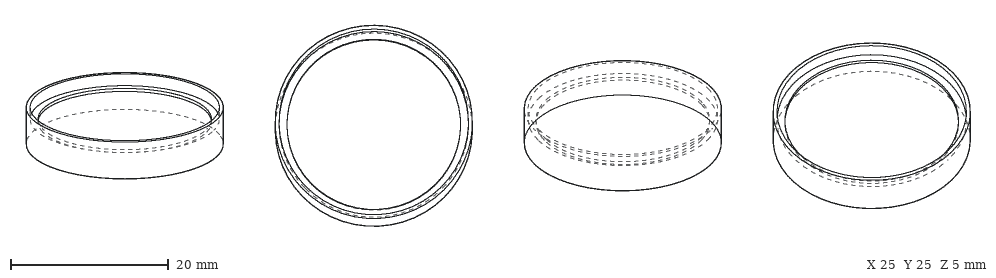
import cadquery as cq

outer_diameter = 25.0
height = 5.0

wall_thickness = 0.5
ledge_width = 1.0
ledge_depth = 1.6
floor_step = 0.4

recess_diameter = outer_diameter - 2 * wall_thickness
floor_diameter = recess_diameter - 2 * ledge_width
floor_depth = ledge_depth + floor_step


def round_recess(diameter, depth):
    """Cylinder reaching down from the top face."""
    return cq.Workplane("XY").workplane(offset=height - depth).circle(diameter / 2).extrude(depth)


body = cq.Workplane("XY").circle(outer_diameter / 2).extrude(height)
body = body.cut(round_recess(recess_diameter, ledge_depth))
result = body.cut(round_recess(floor_diameter, floor_depth))